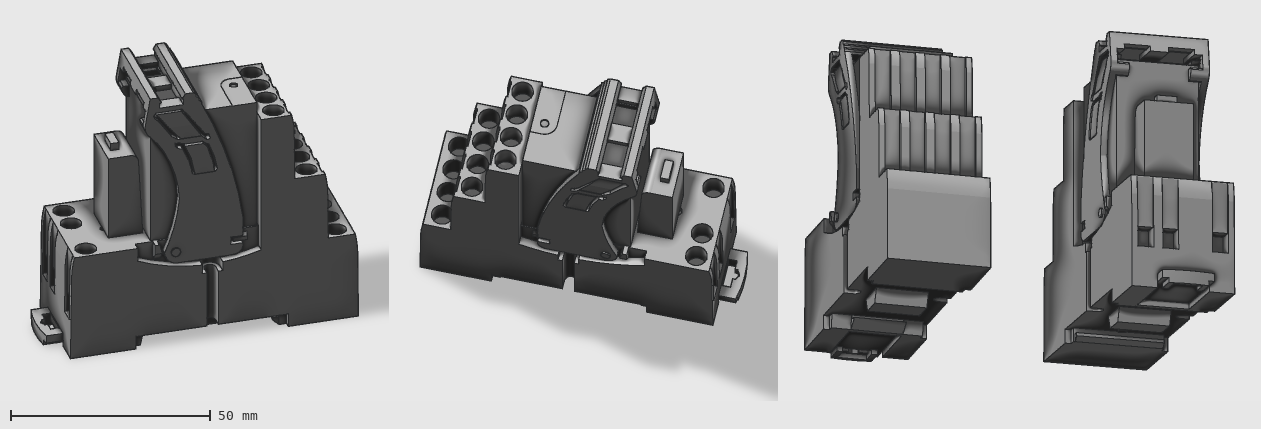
import cadquery as cq


width = 26.9
half_width = width / 2
base_length = 75.1
deck_z = 29.0
rail_z = 3.6
corner_run = 0.8
tier_draft = 0.2

tiers = [
    (base_length, 18.45, 23.9),
    (67.2, 37.8, 42.5),
    (58.5, 56.8, 61.05),
]
seat_back_y = 49.7

terminal_count = 4
terminal_span = 19.6
terminal_pitch = terminal_span / (terminal_count - 1)
terminal_radius = 5.4 / 2
terminal_depth = 6.4
terminal_xs = [i * terminal_pitch - terminal_span / 2 for i in range(terminal_count)]
front_terminal_xs = [terminal_xs[0], terminal_xs[1], terminal_xs[3]]
front_terminal_y = 5.05
tier_terminal_ys = [70.2, 62.6, 54.0]

wire_slot_width = 4.2
front_slot_depth = 1.0
tier_slot_depth = 1.2
front_slot_bottom = 10.5
wire_hole_top = 15.8
wire_hole_depth = 4.8

seat_half_width = 11.15
clip_half_width = 12.9
clip_bottom = 22.9
clip_top = 71.5
groove_y = 37.1

relay_left, relay_right = -10.8, 10.6
relay_front, relay_back = 21.65, 49.4
relay_top = 64.6

slider_half_width = 13.55 / 2
slider_keel_half_width = 10.5 / 2
slider_step_z = 1.5
slider_end_y = -5.1
foot_half_width = 11.9
rear_hook_half_width = 11.5
front_foot_y, rear_foot_y = 17.1, 56.8


def box(x0, x1, y0, y1, z0, z1):
    return cq.Workplane("XY").box(x1 - x0, y1 - y0, z1 - z0, centered=False).translate((x0, y0, z0))


def side_outline(x0):
    """Sketch plane whose axes are Y and Z, standing at x0 and extruding toward +X."""
    return cq.Workplane("YZ").workplane(offset=x0)


def side_plate(points, x0, x1):
    return side_outline(x0).polyline(points).close().extrude(x1 - x0)


def side_pin(y, z, radius, x0, x1):
    return side_outline(x0).center(y, z).circle(radius).extrude(x1 - x0)


def post(x, y, radius, z0, z1):
    return cq.Workplane("XY").workplane(offset=z0).center(x, y).circle(radius).extrude(z1 - z0)


def both_sides(shape):
    return shape.union(shape.mirror("YZ"))


def socket_block():
    front_edge_top, front_edge_middle, front_edge_bottom = (1.05, deck_z), (0.6, 26.5), (0.3, 24.0)
    outline = (
        side_outline(-half_width)
        .moveTo(0, 0)
        .lineTo(front_foot_y, 0)
        .lineTo(front_foot_y, rail_z)
        .lineTo(rear_foot_y, rail_z)
        .lineTo(rear_foot_y, 0)
        .lineTo(base_length, 0)
    )
    next_walls = [back_y for back_y, _, _ in tiers[1:]] + [seat_back_y]
    for (back_y, edge_z, top_z), next_wall in zip(tiers, next_walls):
        edge_start = (back_y - tier_draft, edge_z)
        edge_middle = (back_y - tier_draft - 0.25 * corner_run, (edge_z + top_z) / 2)
        outline = outline.lineTo(*edge_start)
        outline = outline.threePointArc(edge_middle, (back_y - corner_run, top_z))
        outline = outline.lineTo(next_wall, top_z)
    return (
        outline.lineTo(seat_back_y, deck_z)
        .lineTo(*front_edge_top)
        .threePointArc(front_edge_middle, front_edge_bottom)
        .close()
        .extrude(width)
    )


def terminal_hole(x, y, top_z):
    return post(x, y, terminal_radius, top_z - terminal_depth, top_z)


def wire_slot(x, y0, y1, z0, z1):
    return box(x - wire_slot_width / 2, x + wire_slot_width / 2, y0, y1, z0, z1)


def front_terminal_cuts():
    cuts = cq.Workplane("XY")
    for x in front_terminal_xs:
        cuts = cuts.union(terminal_hole(x, front_terminal_y, deck_z))
        cuts = cuts.union(wire_slot(x, 0, front_slot_depth, front_slot_bottom, deck_z))
        cuts = cuts.union(wire_slot(x, 0, wire_hole_depth, front_slot_bottom, wire_hole_top))
    return cuts


def tier_terminal_cuts():
    """Terminal holes in every tier, and wire slots in the walls of the two upper tiers."""
    cuts = cq.Workplane("XY")
    for x in terminal_xs:
        for hole_y, (_, _, top_z) in zip(tier_terminal_ys, tiers):
            cuts = cuts.union(terminal_hole(x, hole_y, top_z))
        for (_, _, floor_z), (back_y, _, top_z) in zip(tiers, tiers[1:]):
            cuts = cuts.union(wire_slot(x, back_y - tier_slot_depth, back_y, floor_z, top_z))
    return cuts


def side_recess():
    """Curved-bottom pocket beside the relay that takes one leg of the clip."""
    front_y = 17.6
    return (
        side_outline(seat_half_width)
        .moveTo(front_y, deck_z)
        .lineTo(front_y, 25.35)
        .threePointArc((groove_y, 21.4), (seat_back_y, 23.35))
        .lineTo(seat_back_y, deck_z)
        .close()
        .extrude(half_width - seat_half_width)
    )


def side_groove():
    """Round-bottomed vertical groove under the clip leg, wider near its top."""
    axis_x = 11.1
    narrow_radius, wide_radius, wide_bottom = 1.5, 2.65, 19.0
    groove = cq.Workplane("XY")
    for radius, bottom_z in [(narrow_radius, 0), (wide_radius, wide_bottom)]:
        groove = groove.union(post(axis_x, groove_y, radius, bottom_z, clip_bottom))
        groove = groove.union(
            box(axis_x, half_width, groove_y - radius, groove_y + radius, bottom_z, clip_bottom))
    return groove


def recess_rib():
    """Small rib in front of each clip leg, with its lower end sloping inward."""
    bottom_z, bend_z, rib_x = 23.8, 26.5, 13.3
    slope = (
        cq.Workplane("XZ")
        .polyline([(seat_half_width, bottom_z), (rib_x, bend_z), (rib_x, deck_z), (seat_half_width, deck_z)])
        .close()
        .extrude(-base_length)
    )
    front_y, back_y, back_top_y = 22.15, 24.0, 23.35
    upright = side_plate(
        [(front_y, bottom_z), (back_y, bottom_z), (back_y, bend_z), (back_top_y, deck_z), (front_y, deck_z)],
        seat_half_width, half_width)
    return slope.intersect(upright)


def rail_feet():
    rear_face_y = 54.9
    front_foot_toe, front_foot_root = (18.7, 0), (19.4, rail_z)
    rear = box(-foot_half_width, foot_half_width, rear_face_y, rear_foot_y, 0, rail_z)
    rear_hook = side_plate(
        [(rear_face_y, 0), (54.7, 0), (53.4, 1.2), (53.4, 2.0), (rear_face_y, 2.0)],
        -rear_hook_half_width, rear_hook_half_width)
    front = side_plate(
        [(front_foot_y, 0), front_foot_toe, front_foot_root, (front_foot_y, rail_z)],
        -foot_half_width, foot_half_width)
    front_hook = side_plate(
        [front_foot_toe, (22.0, 2.2), (19.8, 2.6), front_foot_root],
        -slider_half_width, slider_half_width)
    middle = side_plate(
        [(32.3, rail_z), (33.8, 0), (40.3, 0), (41.9, rail_z)],
        -slider_half_width, slider_half_width)
    stud_y, stud_radius, stud_bottom = 51.9, 1.1, 2.8
    stud = post(0, stud_y, stud_radius, stud_bottom, rail_z)
    return rear.union(rear_hook).union(front).union(front_hook).union(middle).union(stud)


def slider_tail():
    corner_y, root_y = -4.3, 0.8
    keel_z = 0.25
    tongue = (
        cq.Workplane("XY").workplane(offset=keel_z)
        .moveTo(-slider_half_width, root_y)
        .lineTo(-slider_half_width, corner_y)
        .threePointArc((0, slider_end_y), (slider_half_width, corner_y))
        .lineTo(slider_half_width, root_y)
        .close()
        .extrude(rail_z - keel_z)
    )
    keel_relief = box(slider_keel_half_width, slider_half_width, slider_end_y, root_y, keel_z, slider_step_z)
    opening_back_y, opening_front_y, opening_half_width = -0.2, -3.85, 3.8
    notch_half_width, ledge_y, notch_y = 1.4, -2.3, -3.05
    right_edge = [
        (notch_half_width, notch_y),
        (notch_half_width, ledge_y),
        (opening_half_width, ledge_y),
        (opening_half_width, opening_back_y),
    ]
    left_edge = [(-x, y) for x, y in reversed(right_edge)]
    opening = (
        cq.Workplane("XY")
        .polyline([(0, opening_front_y)] + right_edge + left_edge)
        .close()
        .extrude(rail_z)
    )
    hollow = box(-opening_half_width, opening_half_width, opening_front_y, root_y, keel_z, slider_step_z)
    return tongue.cut(both_sides(keel_relief)).cut(opening).cut(hollow)


def socket():
    slider_channel = box(-slider_half_width, slider_half_width, 0, front_foot_y, 0, slider_step_z)
    test_hole_x, test_hole_y, test_hole_radius, test_hole_depth = 1.5, 12.6, 1.3, 1.6
    test_hole = post(test_hole_x, test_hole_y, test_hole_radius, deck_z - test_hole_depth, deck_z)
    block = socket_block().cut(front_terminal_cuts()).cut(tier_terminal_cuts())
    block = block.cut(test_hole).cut(slider_channel)
    block = block.cut(both_sides(side_recess().union(side_groove())))
    return block.union(both_sides(recess_rib())).union(rail_feet()).union(slider_tail())


def relay():
    pad_left, pad_front, pad_depth, pad_corner_radius = -2.5, 43.1, 0.1, 3.2
    body = box(relay_left, relay_right, relay_front, relay_back, deck_z, relay_top)
    pad = box(pad_left, relay_right, pad_front, relay_back, relay_top - pad_depth, relay_top)
    pad = pad.edges("|Z and <X and <Y").fillet(pad_corner_radius)
    hole_x, hole_y, hole_radius, hole_depth = 0.65, 46.3, 1.05, 0.6
    indicator_hole = post(hole_x, hole_y, hole_radius, relay_top - hole_depth, relay_top)
    return body.cut(pad).cut(indicator_hole)


def plug_module():
    left, right, front_y, top_z, tab_top = -6.5, 6.3, 11.95, 51.9, 53.9
    body = (
        side_outline(left)
        .moveTo(front_y, deck_z)
        .lineTo(front_y, top_z)
        .lineTo(17.3, top_z)
        .threePointArc((19.2, 51.35), (19.8, 50.1))
        .lineTo(20.9, deck_z)
        .close()
        .extrude(right - left)
    )
    pull_tab = box(-2.7, 2.5, 13.7, 15.9, top_z, tab_top)
    return body.union(pull_tab)


crossbar_bottom = 67.1
tray_z = 68.4
tray_front_y, tray_back_y = 23.4, 29.6
flap_x = clip_half_width - 0.2


def clip_outline():
    grip_top, grip_bottom, teeth = (32.2, clip_top), (34.4, 67.8), 3
    tooth_run = (grip_bottom[0] - grip_top[0]) / teeth
    tooth_drop = (grip_top[1] - grip_bottom[1]) / teeth
    outline = (
        side_outline(-clip_half_width)
        .moveTo(42.75, clip_bottom)
        .lineTo(28.3, clip_bottom)
        .threePointArc((25.7, 23.9), (24.7, 26.2))
        .lineTo(25.8, deck_z)
        .threePointArc((27.6, 35.05), (28.55, 41.3))
        .threePointArc((26.95, 50.1), (20.3, 61.1))
        .threePointArc((19.7, 62.4), (19.65, 63.8))
        .lineTo(20.9, clip_top)
        .lineTo(22.95, clip_top)
        .lineTo(23.9, 69.95)
        .lineTo(tray_front_y, 69.7)
        .lineTo(tray_front_y, tray_z)
        .lineTo(tray_back_y, tray_z)
        .lineTo(tray_back_y, 69.95)
        .lineTo(29.3, 70.1)
        .lineTo(30.1, clip_top)
        .lineTo(*grip_top)
    )
    for i in range(1, teeth + 1):
        y = grip_top[0] + i * tooth_run
        z = grip_top[1] - i * tooth_drop
        outline = outline.lineTo(y, z + tooth_drop / 2)
        outline = outline.lineTo(y, z)
    return (
        outline.threePointArc((41.1, 51.5), (45.1, 33.45))
        .lineTo(45.1, 25.6)
        .threePointArc((44.45, 23.6), (42.75, clip_bottom))
        .close()
    )


upper_hinge_z, lower_hinge_z = 58.6, 47.7
upper_flap_top, upper_slot_top = 66.2, 67.15
lower_flap_top, lower_slot_top = 56.2, 56.95
upper_flap = [
    (29.3, upper_flap_top), (22.7, upper_flap_top), (28.9, upper_hinge_z), (34.4, upper_hinge_z),
]
upper_slot = [
    (36.7, 57.6), (36.25, 58.8), (35.05, 59.3), (31.2, 64.6), (29.3, upper_slot_top),
    (22.55, upper_slot_top), (21.8, 66.35), (22.2, 65.45), (23.3, 64.4), (26.55, 59.7),
    (28.15, upper_hinge_z), (34.4, upper_hinge_z), (35.8, 57.3),
]
lower_flap = [
    (34.9, lower_flap_top), (30.1, lower_flap_top), (31.7, 52.5), (32.5, 48.7),
    (32.7, lower_hinge_z), (37.9, lower_hinge_z), (37.2, 50.9), (36.0, 55.0),
]
lower_slot = [
    (34.65, lower_slot_top), (29.9, lower_slot_top), (28.5, 57.5), (27.4, 57.5), (27.5, 56.6),
    (28.2, 55.9), (29.45, 55.6), (31.0, 52.15), (32.0, 48.05), (32.65, lower_hinge_z),
    (37.9, lower_hinge_z), (38.5, 48.5), (37.7, 52.15), (36.3, 55.7),
]


def clip_leg_slots():
    """Both flap openings of a leg; the lower flap stays in place, set slightly inward."""
    upper = side_plate(upper_slot, seat_half_width, clip_half_width)
    lower = side_plate(lower_slot, seat_half_width, clip_half_width)
    return upper.union(lower).cut(side_plate(lower_flap, seat_half_width, flap_x))


def upper_spring_flap():
    """Flap of the upper slot; its top bends inward over the relay."""
    tab_x, tip_x = 9.2, 12.2
    bend_z, tab_bottom = 62.1, 64.7
    bent = (
        cq.Workplane("XZ")
        .polyline([
            (flap_x, upper_hinge_z), (flap_x, bend_z), (tip_x, upper_flap_top), (tab_x, upper_flap_top),
            (tab_x, tab_bottom), (seat_half_width, tab_bottom), (seat_half_width, upper_hinge_z),
        ])
        .close()
        .extrude(-base_length)
    )
    return bent.intersect(side_plate(upper_flap, tab_x, clip_half_width))


def latch_tooth(front_y, back_y, bottom_z, top_z):
    """Tooth behind the latch slot, with a sloping upper face."""
    tip_x, tip_z = 11.7, 26.95
    return (
        cq.Workplane("XZ").workplane(offset=-front_y)
        .polyline([(seat_half_width, bottom_z), (tip_x, bottom_z), (tip_x, tip_z), (seat_half_width, top_z)])
        .close()
        .extrude(front_y - back_y)
    )


def clip():
    whole = clip_outline().extrude(2 * clip_half_width)
    inside = box(-seat_half_width, seat_half_width, 0, base_length, 0, crossbar_bottom)

    pocket_near, pocket_far = 2.4, 9.15
    tray_pocket = box(pocket_near, pocket_far, 0, tray_back_y, 0, tray_z)

    latch_front, latch_back, latch_bottom, latch_top = 41.95, 46.7, 25.9, 28.0
    tooth_front = 43.0
    latch_slot = box(seat_half_width, clip_half_width, latch_front, latch_back, latch_bottom, latch_top)
    tooth = latch_tooth(tooth_front, latch_back, latch_bottom, latch_top)

    hook_inner_x, hook_bottom, hook_top, hook_chamfer = 8.0, 60.4, 63.5, 0.5
    hook = whole.intersect(box(hook_inner_x, seat_half_width, 0, relay_front, hook_bottom, hook_top))
    hook = hook.edges(">Z").edges("<Y").chamfer(hook_chamfer)

    pivot_y, pivot_z, pivot_radius, pivot_end_x = 27.6, 26.15, 1.2, 13.3
    pivot = side_pin(pivot_y, pivot_z, pivot_radius, seat_half_width, pivot_end_x)

    openings = both_sides(tray_pocket.union(clip_leg_slots()).union(latch_slot))
    fittings = both_sides(hook.union(pivot).union(tooth).union(upper_spring_flap()))
    return whole.cut(inside).cut(openings).union(fittings)


result = socket().union(relay()).union(plug_module()).union(clip())